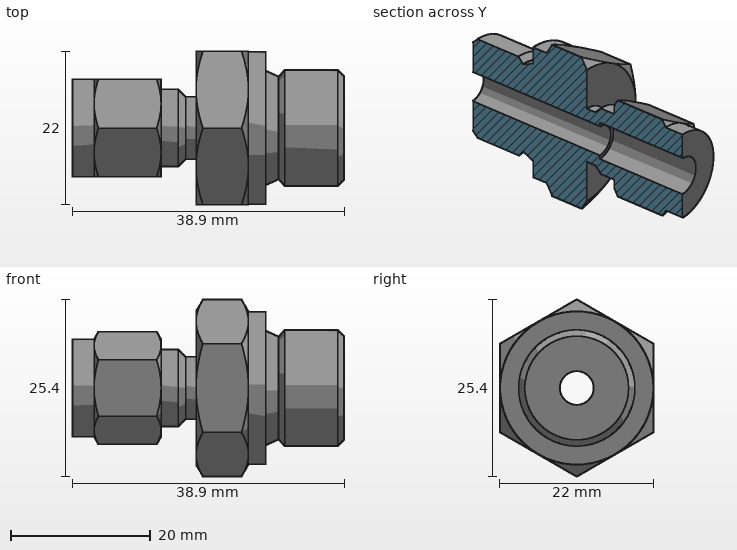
import cadquery as cq
import math


nut_hex_start = 3.1
nut_hex_end = 12.7
neck_taper_start = 15.15
neck_taper_end = 16.2
body_hex_start = 17.7
body_hex_end = 25.2
collar_end = 27.7
relief_start = 29.45
thread_start = 30.4
total_length = 38.9

nut_across_flats = 14.0
body_across_flats = 22.0
hex_sides = 6
hex_chamfer_angle = 30.0

neck_diameter = 11.1
collar_diameter = 21.9
root_diameter = 9.0
cone_diameter = 16.4
relief_diameter = 14.8
relief_width = 0.1
thread_diameter = 16.66
thread_chamfer = 0.9

bore_diameter = 4.8
tube_diameter = 6.0
tube_depth = 15.3


def revolve_profile(points):
    """Revolve a closed (x, radius) outline about the X axis."""
    return cq.Workplane("XY").polyline(points).close().revolve(360, (0, 0, 0), (1, 0, 0))


def cylinder(diameter, start, end):
    return cq.Workplane("YZ", origin=(start, 0, 0)).circle(diameter / 2).extrude(end - start)


def chamfered_hex(across_flats, start, end):
    """Hexagonal prism with vertices on +Z and -Z and conically chamfered corners."""
    flat_radius = across_flats / 2
    corner_diameter = across_flats / math.cos(math.pi / hex_sides)
    prism = (
        cq.Workplane("YZ", origin=(start, 0, 0))
        .transformed(rotate=(0, 0, 90))
        .polygon(hex_sides, corner_diameter)
        .extrude(end - start)
    )
    middle = (start + end) / 2
    middle_radius = flat_radius + (middle - start) / math.tan(math.radians(hex_chamfer_angle))
    envelope = revolve_profile([
        (start, 0),
        (start, flat_radius),
        (middle, middle_radius),
        (end, flat_radius),
        (end, 0),
    ])
    return prism.intersect(envelope)


def turned_neck():
    """Neck between the hexagons, tapering to a smaller root."""
    return revolve_profile([
        (nut_hex_end, 0),
        (nut_hex_end, neck_diameter / 2),
        (neck_taper_start, neck_diameter / 2),
        (neck_taper_end, root_diameter / 2),
        (body_hex_start, root_diameter / 2),
        (body_hex_start, 0),
    ])


def thread_end():
    """Seal cone, relief and plain thread cylinder with a chamfered tip."""
    thread_radius = thread_diameter / 2
    relief_radius = relief_diameter / 2
    return revolve_profile([
        (collar_end, 0),
        (collar_end, cone_diameter / 2),
        (relief_start, relief_radius),
        (relief_start + relief_width, relief_radius),
        (thread_start, thread_radius),
        (total_length - thread_chamfer, thread_radius),
        (total_length, thread_radius - thread_chamfer),
        (total_length, 0),
    ])


nut = cylinder(nut_across_flats, 0, nut_hex_start).union(
    chamfered_hex(nut_across_flats, nut_hex_start, nut_hex_end)
)
body = chamfered_hex(body_across_flats, body_hex_start, body_hex_end).union(
    cylinder(collar_diameter, body_hex_end, collar_end)
)
solid = nut.union(turned_neck()).union(body).union(thread_end())

result = (
    solid
    .cut(cylinder(bore_diameter, 0, total_length))
    .cut(cylinder(tube_diameter, 0, tube_depth))
)